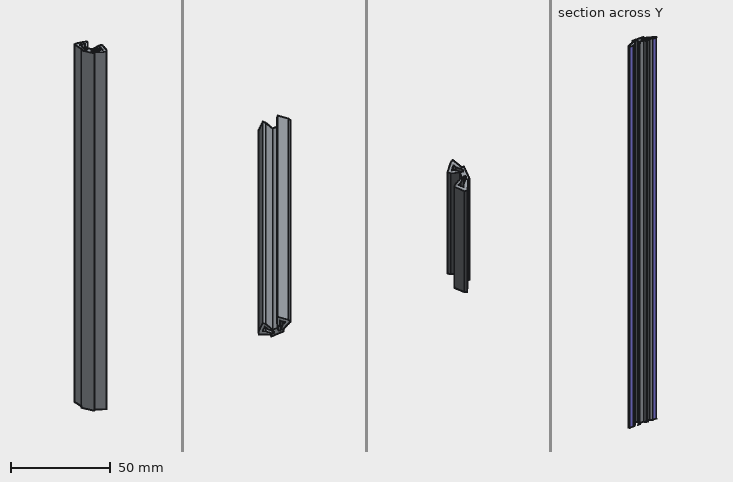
import cadquery as cq

length = 215.0
half_width = 8.8
height = 8.8

base_half_width = 3.5
base_side_height = 1.0
valley_half_width = 1.3
valley_height = 3.2

crest = (4.0, height)
crest_shoulder = (3.0, 7.5)
face_end = (8.2, 5.2)
tip = (half_width, 3.7)

head_inner = (4.0, 6.5)
head_outer = (6.2, 4.5)
neck_inner = (3.7, 5.0)
neck_outer = (4.7, 3.9)
slot_inner_end = (1.3, 2.4)
slot_outer_end = (2.4, 1.3)
slot_corner = (slot_inner_end[0], slot_outer_end[1])


def mirrored(points):
    """Reflect points across the YZ plane, reversing their order."""
    return [(-x, y) for x, y in reversed(points)]


def extrude_outline(points):
    """Extrude a closed outline along the full length of the strip."""
    return cq.Workplane("XY").polyline(points).close().extrude(length)


right_outline = [
    (base_half_width, 0),
    (base_half_width, base_side_height),
    tip,
    face_end,
    crest,
    crest_shoulder,
    (valley_half_width, valley_height),
]
result = extrude_outline(right_outline + mirrored(right_outline))

right_hollow = [
    slot_corner,
    slot_outer_end,
    neck_outer,
    head_outer,
    head_inner,
    neck_inner,
    slot_inner_end,
]
for hollow in (right_hollow, mirrored(right_hollow)):
    result = result.cut(extrude_outline(hollow))